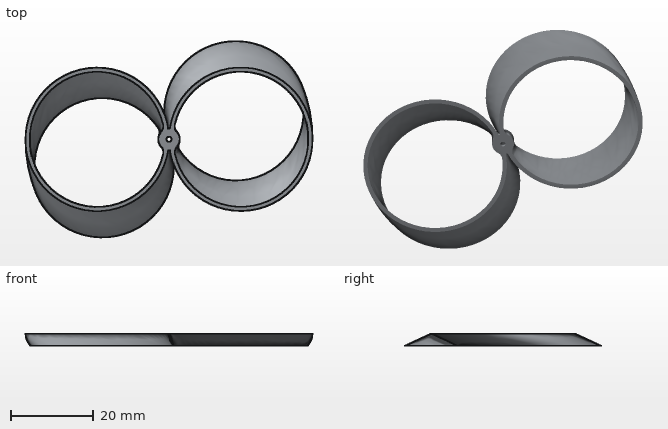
import cadquery as cq
import math

length = 69.9
width = 47.8
height = 3.0

ring_radius = length / 4
wall = 1.05
inner_radius = ring_radius - wall

hub_radius = 5.3 / 2
bore_diameter = 1.2
hub_fillet = 2.0

twist_angle = math.degrees(math.asin((width / 2 - ring_radius) / ring_radius))

corner_x = (ring_radius**2 - inner_radius**2 + hub_radius**2) / (2 * ring_radius)
corner_tolerance = 0.01


def is_hub_corner(edge):
    return abs(abs(edge.Center().x) - corner_x) < corner_tolerance


def plan_face():
    """Untwisted outline of both rings and the hub, with filleted hub corners."""
    plan = cq.Workplane("XY").circle(hub_radius).extrude(height)
    for center_x in (-ring_radius, ring_radius):
        ring = cq.Workplane("XY").center(center_x, 0).circle(ring_radius).circle(inner_radius)
        plan = plan.union(ring.extrude(height))
    plan = plan.edges("|Z").filter(is_hub_corner).fillet(hub_fillet)
    return plan.faces("<Z").val()


base = plan_face().rotate(cq.Vector(0, 0, 0), cq.Vector(0, 0, 1), twist_angle)
twisted_body = cq.Solid.extrudeLinearWithRotation(
    base.outerWire(),
    base.innerWires(),
    cq.Vector(0, 0, 0),
    cq.Vector(0, 0, height),
    -twist_angle,
)

bore = cq.Workplane("XY").circle(bore_diameter / 2).extrude(height)
result = cq.Workplane(twisted_body).cut(bore)